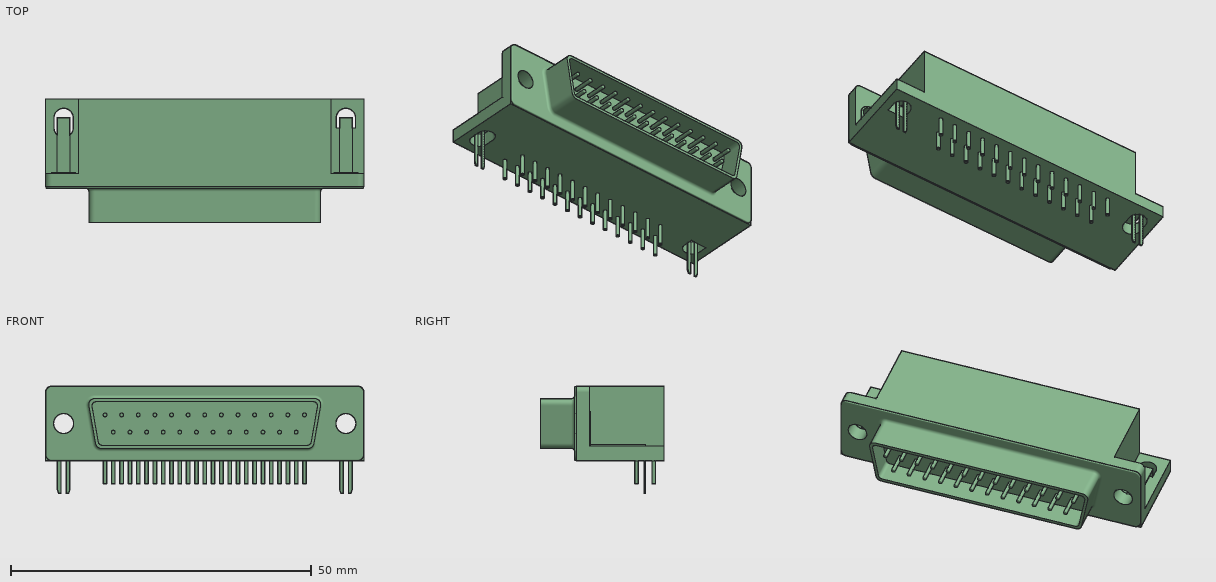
import cadquery as cq
import math


WIDTH = 53.1
HEIGHT = 12.5
DEPTH = 14.9
FLANGE_DEPTH = 2.45
EAR_WIDTH = 5.45
LEDGE_HEIGHT = 2.5
CORNER_RADIUS = 1.05
PLATE_THICKNESS = 0.3
PLATE_EDGE_RADIUS = 0.15
PLATE_INSET = 0.05

MOUNT_X = 23.5
HOLE_DIAMETER = 3.3
SLOT_WIDTH = 3.2
SLOT_REAR_EDGE = 1.6
SLOT_CENTRE_SPAN = 1.65
BRACKET_WIDTH = 4.0
BRACKET_THICKNESS = 0.2
FOOT_WIDTH = 2.1
FOOT_REAR_GAP = 3.15
LEG_WIDTH = 0.65
LEG_LENGTH = 5.4
LEG_TAPER_WIDTH = 0.2
LEG_TAPER_HEIGHT = 0.65

SHELL_PROJECTION = 5.75
SHELL_WIDTH = 38.65
SHELL_HEIGHT = 8.35
SHELL_RADIUS = 1.0
SHELL_WALL = 0.55
SHELL_BASE_FILLET = 0.55
ROOT_MARGIN = 0.55
SIDE_ANGLE = 10.0
CAVITY_DEPTH = 3.95
CAVITY_RADIUS = 0.7

PIN_DIAMETER = 0.65
LONG_ROW_COUNT = 13
LONG_ROW_SPAN = 33.25
PIN_PITCH = LONG_ROW_SPAN / (LONG_ROW_COUNT - 1)
ROW_PITCH = 2.85
CONTACT_RECESS = 0.2
TIP_SIZE = 0.1
SOLDER_LENGTH = 3.9
REAR_SOLDER_GAP = 1.75
EMBED = 0.55

MID_Z = HEIGHT / 2
CAVITY_FLOOR_Y = CAVITY_DEPTH - SHELL_PROJECTION


def box(x_min, x_max, y_min, y_max, z_min, z_max):
    return (
        cq.Workplane("XY")
        .box(x_max - x_min, y_max - y_min, z_max - z_min, centered=False)
        .translate((x_min, y_min, z_min))
    )


def front_plane(y):
    """Plane at depth y, drawn in X and Z about the connector axis, extruding to -Y."""
    return cq.Workplane("XZ", origin=(0, y, MID_Z))


def make_body():
    half_width = WIDTH / 2
    flange = box(-half_width, half_width, PLATE_THICKNESS, FLANGE_DEPTH, 0, HEIGHT)
    flange = flange.edges("|Y").edges(">Z").fillet(CORNER_RADIUS)
    half_block = half_width - EAR_WIDTH
    block = box(-half_block, half_block, PLATE_THICKNESS, DEPTH, 0, HEIGHT)
    ledges = box(-half_width, half_width, PLATE_THICKNESS, DEPTH, 0, LEDGE_HEIGHT)
    return flange.union(block).union(ledges)


def make_plate():
    width = WIDTH - 2 * PLATE_INSET
    height = HEIGHT - 2 * PLATE_INSET
    plate = front_plane(PLATE_THICKNESS).rect(width, height).extrude(PLATE_THICKNESS)
    plate = plate.edges("|Y").fillet(CORNER_RADIUS - PLATE_INSET)
    return plate.faces("<Y").edges().fillet(PLATE_EDGE_RADIUS)


def d_prism(inset, radius, y_back, length):
    """D-shaped prism, inset from the shell's outside and running forward from y_back."""
    height = SHELL_HEIGHT - 2 * inset
    slope = math.radians(SIDE_ANGLE)
    corner_overhang = radius * (math.tan(math.pi / 4 + slope / 2) - 1)
    top_x = SHELL_WIDTH / 2 - inset + corner_overhang
    bottom_x = top_x - height * math.tan(slope)
    outline = [
        (-top_x, height / 2),
        (top_x, height / 2),
        (bottom_x, -height / 2),
        (-bottom_x, -height / 2),
    ]
    return front_plane(y_back).polyline(outline).close().extrude(length).edges("|Y").fillet(radius)


def add_shell(part):
    shell_length = PLATE_THICKNESS + SHELL_PROJECTION
    part = part.union(d_prism(0, SHELL_RADIUS, PLATE_THICKNESS, shell_length))
    half_width = SHELL_WIDTH / 2 + ROOT_MARGIN
    half_height = SHELL_HEIGHT / 2 + ROOT_MARGIN
    around_root = cq.selectors.BoxSelector(
        (-half_width, -ROOT_MARGIN, MID_Z - half_height),
        (half_width, ROOT_MARGIN, MID_Z + half_height),
    )
    part = part.faces("<Y[-2]").edges(around_root).fillet(SHELL_BASE_FILLET)
    return part.cut(d_prism(SHELL_WALL, CAVITY_RADIUS, CAVITY_FLOOR_Y, CAVITY_DEPTH))


def slot(side):
    """Board-lock slot; round at both ends on the -X side, square at the front end on the +X side."""
    rear_centre = DEPTH - SLOT_REAR_EDGE - SLOT_WIDTH / 2
    front_centre = rear_centre - SLOT_CENTRE_SPAN
    x = side * MOUNT_X
    cutter = box(x - SLOT_WIDTH / 2, x + SLOT_WIDTH / 2, front_centre, rear_centre, 0, LEDGE_HEIGHT)
    round_ends = [(x, rear_centre)]
    if side < 0:
        round_ends.append((x, front_centre))
    ends = cq.Workplane("XY").pushPoints(round_ends).circle(SLOT_WIDTH / 2).extrude(LEDGE_HEIGHT)
    return cutter.union(ends)


def leg(side, x):
    """One board-lock leg, tapered at the tip on the side away from its twin."""
    bottom = -LEG_LENGTH
    outer = x + side * LEG_WIDTH
    outline = [
        (x, LEDGE_HEIGHT),
        (outer, LEDGE_HEIGHT),
        (outer, bottom + LEG_TAPER_HEIGHT),
        (outer - side * LEG_TAPER_WIDTH, bottom),
        (x, bottom),
    ]
    front = DEPTH - FOOT_REAR_GAP - BRACKET_THICKNESS
    return cq.Workplane("XZ", origin=(0, front, 0)).polyline(outline).close().extrude(-BRACKET_THICKNESS)


def make_bracket(x):
    """Sheet-metal board lock: round-topped tab on the ear, foot on the ledge and two legs."""
    tab_back = FLANGE_DEPTH + BRACKET_THICKNESS
    half_tab = BRACKET_WIDTH / 2
    half_foot = FOOT_WIDTH / 2
    foot_top = LEDGE_HEIGHT + BRACKET_THICKNESS
    bracket = box(x - half_tab, x + half_tab, FLANGE_DEPTH, tab_back, LEDGE_HEIGHT, MID_Z)
    bracket = bracket.union(front_plane(tab_back).center(x, 0).circle(half_tab).extrude(BRACKET_THICKNESS))
    foot_back = DEPTH - FOOT_REAR_GAP
    bracket = bracket.union(
        box(x - half_foot, x + half_foot, FLANGE_DEPTH, foot_back, LEDGE_HEIGHT, foot_top)
    )
    for side in (-1, 1):
        bracket = bracket.union(leg(side, x + side * (half_foot - LEG_WIDTH)))
    return bracket


def contact_rows():
    """Pin X positions of each row, with +1 for the upper (rear) row and -1 for the lower one."""
    for row, count in ((1, LONG_ROW_COUNT), (-1, LONG_ROW_COUNT - 1)):
        yield row, [(i - (count - 1) / 2) * PIN_PITCH for i in range(count)]


def add_contacts(part):
    mating_length = CAVITY_DEPTH - CONTACT_RECESS + EMBED
    rear_solder_y = DEPTH - REAR_SOLDER_GAP
    for row, xs in contact_rows():
        mating = (
            front_plane(CAVITY_FLOOR_Y + EMBED)
            .pushPoints([(x, row * ROW_PITCH / 2) for x in xs])
            .circle(PIN_DIAMETER / 2)
            .extrude(mating_length)
            .faces("<Y")
            .edges()
            .fillet(TIP_SIZE)
        )
        solder_y = rear_solder_y if row > 0 else rear_solder_y - ROW_PITCH
        solder = (
            cq.Workplane("XY", origin=(0, 0, EMBED))
            .pushPoints([(x, solder_y) for x in xs])
            .circle(PIN_DIAMETER / 2)
            .extrude(-(SOLDER_LENGTH + EMBED))
            .faces("<Z")
            .edges()
            .chamfer(TIP_SIZE)
        )
        part = part.union(mating).union(solder)
    return part


def add_mounting(part, side):
    """Slot, bracket and screw hole of one ear."""
    x = side * MOUNT_X
    hole_length = FLANGE_DEPTH + BRACKET_THICKNESS
    hole = front_plane(hole_length).center(x, 0).circle(HOLE_DIAMETER / 2).extrude(hole_length)
    return part.cut(slot(side)).union(make_bracket(x)).cut(hole)


result = add_shell(make_body().union(make_plate()))
for ear_side in (-1, 1):
    result = add_mounting(result, ear_side)
result = add_contacts(result)